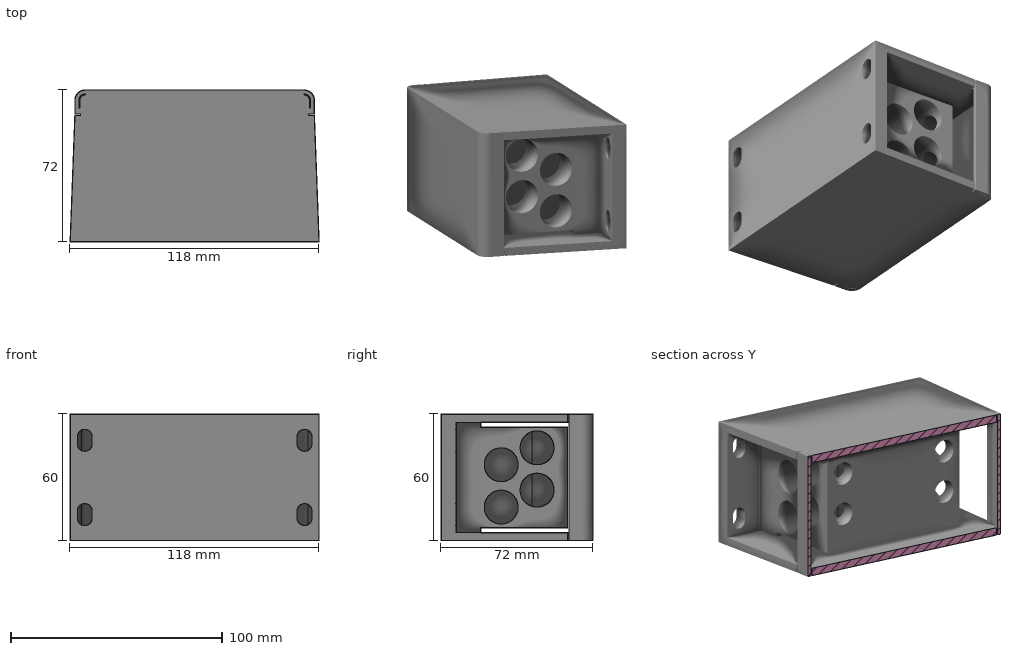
import cadquery as cq
import math

base_width = 118.0
depth = 72.0
height = 60.0
mid_z = height / 2

cover_width = 113.5
cover_wall = 2.0
cover_corner_radius = 5.0
cover_end_y = 60.5
sleeve_end_y = 60.0
wall_z = 3.9
base_thickness = 7.0

inner_half = cover_width / 2 - cover_wall
inner_back_y = depth - cover_wall
inner_radius = cover_corner_radius - cover_wall
lip_half = 53.7
lip_start_y = 63.5
lip_radius = 2.5
lip_round_half = 55.5
lip_round_angle = math.asin((lip_round_half - lip_half) / lip_radius)

corner_gap = 0.2
notch_half = 54.2

block_width = 77.4
block_height = 47.7
bed_top_y = 18.9
pad_top_y = 7.3
pad_margin = 1.2
side_slope = (base_width - cover_width) / 2 / sleeve_end_y

wire_diameter = 16.0
wire_depth = 17.7
wire_pitch = 20.1
row_shift = 4.0
upper_row_y = 45.4
lower_row_y = 28.4
end_step_y = 43.1
end_step_depth = 1.2

screw_diameter = 11.1
screw_x = 29.6

slot_width = 7.1
slot_length = 10.4
slot_x = 52.0
slot_spacing_z = 35.2


def box(x_min, x_max, y_min, y_max, z_min, z_max):
    size = (x_max - x_min, y_max - y_min, z_max - z_min)
    return cq.Workplane("XY").box(*size, centered=False).translate((x_min, y_min, z_min))


def both_ends(shape):
    """Join a shape with its mirror image across X = 0."""
    return shape.union(shape.mirror("YZ"))


def make_shell():
    half_base = base_width / 2
    half_cover = cover_width / 2
    return (
        cq.Workplane("XY")
        .polyline([
            (-half_base, 0),
            (half_base, 0),
            (half_cover, sleeve_end_y),
            (half_cover, depth),
            (-half_cover, depth),
            (-half_cover, sleeve_end_y),
        ])
        .close()
        .extrude(height)
        .edges("|Z and >Y")
        .fillet(cover_corner_radius)
    )


def make_cavity():
    """Interior: open at both ends of the sleeve, undercut behind the snap lips."""
    def lip_round(angle):
        x = -lip_round_half + lip_radius * math.sin(angle)
        y = cover_end_y + lip_radius * (1 - math.cos(angle))
        return x, y

    diagonal = inner_radius * math.sqrt(0.5)
    corner_x = -inner_half + inner_radius
    corner_y = inner_back_y - inner_radius
    half = (
        cq.Workplane("XY")
        .workplane(offset=wall_z)
        .moveTo(0, base_thickness)
        .lineTo(-base_width / 2, base_thickness)
        .lineTo(-base_width / 2, cover_end_y)
        .lineTo(-lip_round_half, cover_end_y)
        .threePointArc(lip_round(lip_round_angle / 2), lip_round(lip_round_angle))
        .lineTo(-inner_half, lip_start_y)
        .lineTo(-inner_half, corner_y)
        .threePointArc((corner_x - diagonal, corner_y + diagonal), (corner_x, inner_back_y))
        .lineTo(0, inner_back_y)
        .close()
        .extrude(height - 2 * wall_z)
    )
    return both_ends(half)


def make_cover_gaps():
    """Full-height gaps: a notch at the cover's end and a thin hook round the sleeve corner."""
    notch = box(-base_width / 2, -notch_half, sleeve_end_y, cover_end_y, 0, height)
    corner_x = -inner_half + inner_radius
    corner_y = inner_back_y - inner_radius
    cover_diagonal = inner_radius * math.sqrt(0.5)
    gap_radius = inner_radius - corner_gap
    gap_diagonal = gap_radius * math.sqrt(0.5)
    hook = (
        cq.Workplane("XY")
        .moveTo(-inner_half + corner_gap, lip_start_y)
        .lineTo(-inner_half, lip_start_y + corner_gap)
        .lineTo(-inner_half, corner_y)
        .threePointArc(
            (corner_x - cover_diagonal, corner_y + cover_diagonal), (corner_x, inner_back_y)
        )
        .lineTo(corner_x, inner_back_y - corner_gap)
        .threePointArc(
            (corner_x - gap_diagonal, corner_y + gap_diagonal),
            (-inner_half + corner_gap, corner_y),
        )
        .close()
        .extrude(height)
    )
    return both_ends(notch.union(hook))


def make_bed():
    half_top = block_width / 2
    half_bottom = half_top + side_slope * (bed_top_y - base_thickness)
    bed = (
        cq.Workplane("XY")
        .workplane(offset=wall_z)
        .polyline([
            (-half_bottom, base_thickness),
            (half_bottom, base_thickness),
            (half_top, bed_top_y),
            (-half_top, bed_top_y),
        ])
        .close()
        .extrude(height - 2 * wall_z)
    )
    half_pad = half_bottom + pad_margin
    pad = box(-half_pad, half_pad, base_thickness, pad_top_y, wall_z, height - wall_z)
    return bed.union(pad)


def make_block():
    half = block_width / 2
    block_bottom = mid_z - block_height / 2
    block_top = mid_z + block_height / 2
    return box(-half, half, bed_top_y, sleeve_end_y, block_bottom, block_top)


def wire_hole(y, z, hole_depth):
    return (
        cq.Workplane("YZ", origin=(-block_width / 2, y, z))
        .circle(wire_diameter / 2)
        .extrude(hole_depth)
    )


def screw_hole(z):
    return (
        cq.Workplane("XZ", origin=(-screw_x, sleeve_end_y, z))
        .circle(screw_diameter / 2)
        .extrude(sleeve_end_y - upper_row_y)
    )


def make_terminal_holes():
    holes = cq.Workplane("XY")
    for side in (-1, 1):
        upper_z = mid_z + row_shift + side * wire_pitch / 2
        lower_z = mid_z - row_shift + side * wire_pitch / 2
        upper = wire_hole(upper_row_y, upper_z, wire_depth)
        above_step = box(-base_width / 2, 0, end_step_y, depth, 0, height)
        deeper = wire_hole(upper_row_y, upper_z, wire_depth + end_step_depth).intersect(above_step)
        holes = holes.add(upper.union(deeper).union(screw_hole(upper_z)))
        holes = holes.add(wire_hole(lower_row_y, lower_z, wire_depth))
    return both_ends(holes.combine())


def make_mounting_slots():
    return (
        cq.Workplane("XZ", origin=(0, 0, mid_z))
        .rarray(2 * slot_x, slot_spacing_z, 2, 2)
        .slot2D(slot_length, slot_width, 90)
        .extrude(-base_thickness)
    )


terminal = make_bed().union(make_block()).cut(make_terminal_holes())
housing = make_shell().cut(make_cavity()).cut(make_cover_gaps()).cut(make_mounting_slots())
result = housing.union(terminal)